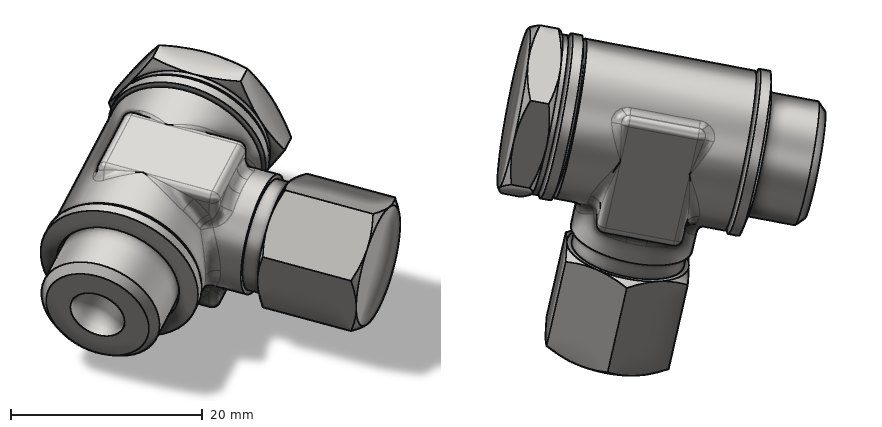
import cadquery as cq
import math


OVERALL_LENGTH = 34.67

HEX_CHAMFER_ANGLE = 30
HEX_HALF_SIDE_ANGLE = 30
HEAD_FLATS = 17.0
HEAD_THICKNESS = 3.45
NUT_FLATS = 13.0

HOUSING_RADIUS = HEAD_FLATS / 2
HOUSING_HALF_LENGTH = 9.0
SEAL_THICKNESS = 1.98
SEAL_RIM_THICKNESS = 1.1
SEAL_RADIUS = 8.77
SEAL_CREST_RADIUS = 6.83
SEAL_GROOVE_DEPTH = 0.7

COLLAR_THICKNESS = 0.55
STUD_RADIUS = 6.6
STUD_LENGTH = 6.0
STUD_CHAMFER = 0.85
BORE_RADIUS = 3.0
BORE_TIP_ANGLE = 118

STUB_RADIUS = 6.5
STUB_END = 12.0
NECK_RADIUS = 6.0
NECK_END = 13.87

BLOCK_LEFT = -4.95
BLOCK_RIGHT = 8.65
BLOCK_WIDTH = 9.15
BLOCK_HEIGHT = 2 * HOUSING_RADIUS
BLOCK_ROUNDING = 0.9

ROOT_FILLET = 1.2
STUB_CORNER_ANGLE = 20
BLOCK_SIDE_ANGLE = 50

SEAL_END = HOUSING_HALF_LENGTH + SEAL_THICKNESS
STUD_END = SEAL_END + STUD_LENGTH
HEAD_UNDERSIDE = SEAL_END + COLLAR_THICKNESS


def cylinder_along_y(radius, start, end):
    return cq.Workplane("XZ", origin=(0, start, 0)).circle(radius).extrude(start - end)


def cylinder_along_x(radius, start, end):
    return cq.Workplane("YZ", origin=(start, 0, 0)).circle(radius).extrude(end - start)


def hexagon_corner_radius(flats):
    return flats / 2 / math.cos(math.radians(HEX_HALF_SIDE_ANGLE))


def chamfered_hexagon(flats, length):
    """Hexagonal prism from z = 0 with corners on the local X axis, chamfered at both ends."""
    corner_radius = hexagon_corner_radius(flats)
    rise = (corner_radius - flats / 2) * math.tan(math.radians(HEX_CHAMFER_ANGLE))
    prism = cq.Workplane("XY").polygon(6, 2 * corner_radius).extrude(length)
    envelope = (
        cq.Workplane("XZ")
        .polyline([
            (0, 0),
            (flats / 2, 0),
            (corner_radius, rise),
            (corner_radius, length - rise),
            (flats / 2, length),
            (0, length),
        ])
        .close()
        .revolve(360, (0, 0), (0, 1))
    )
    return prism.intersect(envelope)


def make_block():
    return (
        cq.Workplane("XY")
        .box(BLOCK_RIGHT - BLOCK_LEFT, BLOCK_WIDTH, BLOCK_HEIGHT)
        .edges()
        .fillet(BLOCK_ROUNDING)
        .translate(((BLOCK_LEFT + BLOCK_RIGHT) / 2, 0, 0))
    )


def barrel_height(x):
    """Height of the barrel surface above the bolt axis plane at a given x."""
    return math.sqrt(HOUSING_RADIUS**2 - x**2)


def root_points():
    """A point on every inner corner where the block and the stub rise out of the barrel."""
    half_width = BLOCK_WIDTH / 2
    stub_angle = math.radians(STUB_CORNER_ANGLE)
    stub_y = STUB_RADIUS * math.cos(stub_angle)
    stub_z = STUB_RADIUS * math.sin(stub_angle)
    side_x = HOUSING_RADIUS * math.cos(math.radians(BLOCK_SIDE_ANGLE))
    points = []
    for up in (1, -1):
        points.append((BLOCK_LEFT, 0, up * barrel_height(BLOCK_LEFT)))
        points.append((BLOCK_RIGHT, 0, up * STUB_RADIUS))
        for back in (1, -1):
            points.append((side_x, back * half_width, up * barrel_height(side_x)))
            points.append((barrel_height(stub_z), back * stub_y, up * stub_z))
    return points


def make_housing():
    barrel = cylinder_along_y(HOUSING_RADIUS, -HOUSING_HALF_LENGTH, HOUSING_HALF_LENGTH)
    stub = cylinder_along_x(STUB_RADIUS, 0, STUB_END)
    joined = barrel.union(make_block()).union(stub)
    root_edges = [joined.edges(cq.NearestToPointSelector(point)).val() for point in root_points()]
    return joined.newObject(root_edges).fillet(ROOT_FILLET)


def make_seal(start):
    """Ring from y = start, bevelled from its rim to a crest, then hollowed towards the stud."""
    middle = start + SEAL_THICKNESS / 2
    half_rim = SEAL_RIM_THICKNESS / 2
    half_crest = SEAL_THICKNESS / 2
    half_root = half_crest - SEAL_GROOVE_DEPTH
    return (
        cq.Workplane("XY")
        .polyline([
            (0, middle - half_root),
            (STUD_RADIUS, middle - half_root),
            (SEAL_CREST_RADIUS, middle - half_crest),
            (SEAL_RADIUS, middle - half_rim),
            (SEAL_RADIUS, middle + half_rim),
            (SEAL_CREST_RADIUS, middle + half_crest),
            (STUD_RADIUS, middle + half_root),
            (0, middle + half_root),
        ])
        .close()
        .revolve(360, (0, 0), (0, 1))
    )


def make_bolt():
    head = (
        chamfered_hexagon(HEAD_FLATS, HEAD_THICKNESS)
        .rotate((0, 0, 0), (1, 0, 0), -90)
        .translate((0, HEAD_UNDERSIDE, 0))
    )
    collar = cylinder_along_y(HOUSING_RADIUS, SEAL_END, HEAD_UNDERSIDE)
    stud = cylinder_along_y(STUD_RADIUS, -STUD_END, SEAL_END).faces("<Y").chamfer(STUD_CHAMFER)
    return head.union(collar).union(stud)


def make_bore():
    """Blind drilled hole, full width from the stud end to the outlet axis, with a drill tip."""
    tip_depth = BORE_RADIUS / math.tan(math.radians(BORE_TIP_ANGLE / 2))
    return (
        cq.Workplane("XY")
        .polyline([(0, -STUD_END), (BORE_RADIUS, -STUD_END), (BORE_RADIUS, 0), (0, tip_depth)])
        .close()
        .revolve(360, (0, 0), (0, 1))
    )


def make_fitting():
    return (
        make_housing()
        .union(make_bolt())
        .union(make_seal(HOUSING_HALF_LENGTH))
        .union(make_seal(-SEAL_END))
        .union(cylinder_along_x(NECK_RADIUS, STUB_END, NECK_END))
        .cut(make_bore())
    )


def make_nut():
    """Hexagon nut along X with corners up and down, seated on the end of the neck."""
    nut_end = OVERALL_LENGTH - hexagon_corner_radius(HEAD_FLATS)
    return (
        chamfered_hexagon(NUT_FLATS, nut_end - NECK_END)
        .rotate((0, 0, 0), (0, 1, 0), 90)
        .translate((NECK_END, 0, 0))
    )


fitting = make_fitting()
nut = make_nut()

result = cq.Compound.makeCompound([fitting.val(), nut.val()])